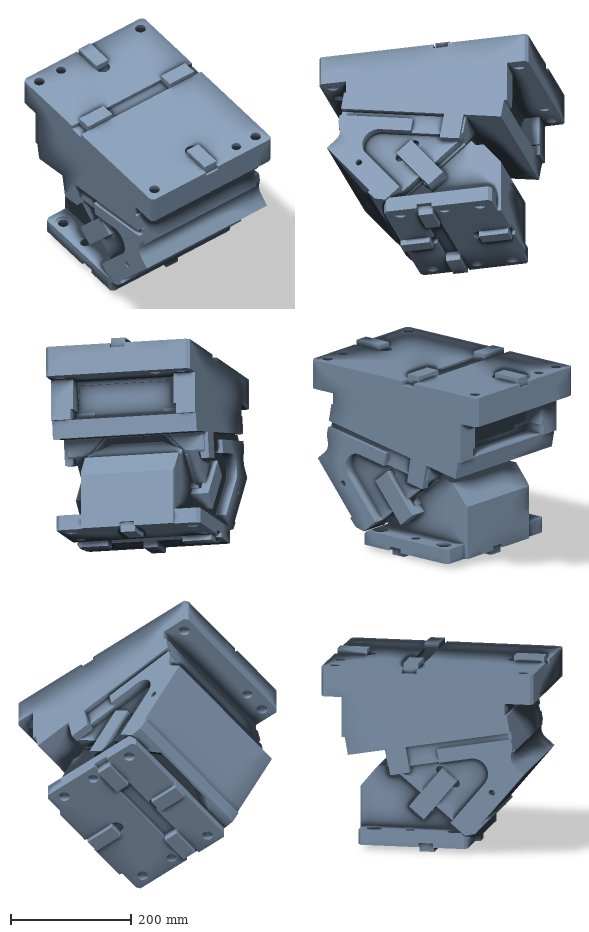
import cadquery as cq
import math

LENGTH = 360.0
WIDTH = 250.0
HALF_WIDTH = WIDTH / 2
TOP_Z = 300.0
PLATE_T = 50.0
CORNER_X = 4.5
CORNER_Y = 6.0
MARGIN = 18.0

BOLT_D = 18.0
DOWEL_D = 16.5

KEY_L = 50.5
KEY_W = 24.5
KEY_PROUD = 9.0
SLOT_W = 25.2
SLOT_DEPTH = 7.2

TILT = 10.0
SLIDE_X = 45.7
SLIDE_Z = 152.0
SLIDE_END = 279.7

GUIDE_ANGLE = 40.0
GUIDE_X = 220.5
GUIDE_Z = 43.5

FLANK_SLOPE = 0.64
FLANK_Y = 80.5
RIDGE_TOP_Y = 43.2
RIDGE_H = (FLANK_Y - RIDGE_TOP_Y) * FLANK_SLOPE


def slide_point(u, v):
    """(x, z) of a point given along and normal to the slide plane."""
    c, s = math.cos(math.radians(TILT)), math.sin(math.radians(TILT))
    return (SLIDE_X + u * c - v * s, SLIDE_Z + u * s + v * c)


def guide_point(s, h):
    """(x, z) of a point given down along and normal to the guide."""
    c, n = math.cos(math.radians(GUIDE_ANGLE)), math.sin(math.radians(GUIDE_ANGLE))
    return (GUIDE_X + s * c + h * n, GUIDE_Z - s * n + h * c)


def side_prism(points, y_from, y_to):
    """Extrude an (x, z) outline between two Y positions."""
    plane = cq.Workplane("XZ", origin=(0, y_from, 0))
    return plane.polyline(points).close().extrude(y_from - y_to)


def central_prism(points, half_width):
    """Extrude an (x, z) outline symmetrically about Y = 0."""
    return side_prism(points, -half_width, half_width)


def both_sides(shape):
    """The shape together with its mirror image about Y = 0."""
    return shape.union(shape.mirror("XZ"))


def guide_prism(section, s_from, s_to):
    """Extrude a (y, h) section along the guide."""
    angle = math.radians(GUIDE_ANGLE)
    x, z = guide_point(s_from, 0)
    down_guide = (math.cos(angle), 0, -math.sin(angle))
    plane = cq.Plane(origin=(x, 0, z), xDir=(0, 1, 0), normal=down_guide)
    return cq.Workplane(plane).polyline(section).close().extrude(s_to - s_from)


def box(x_from, x_to, y_from, y_to, z_from, z_to):
    """Block given by its limits along each axis."""
    corner_box = cq.Workplane("XY").box(x_to - x_from, y_to - y_from, z_to - z_from, centered=False)
    return corner_box.translate((x_from, y_from, z_from))


def chamfered_plate(x_from, x_to, z_from, z_to):
    """Full-width plate with chamfered upright corners."""
    points = [
        (x_from + CORNER_X, -HALF_WIDTH),
        (x_to - CORNER_X, -HALF_WIDTH),
        (x_to, -HALF_WIDTH + CORNER_Y),
        (x_to, HALF_WIDTH - CORNER_Y),
        (x_to - CORNER_X, HALF_WIDTH),
        (x_from + CORNER_X, HALF_WIDTH),
        (x_from, HALF_WIDTH - CORNER_Y),
        (x_from, -HALF_WIDTH + CORNER_Y),
    ]
    return cq.Workplane("XY", origin=(0, 0, z_from)).polyline(points).close().extrude(z_to - z_from)


def drill(points, diameter, z_from, z_to):
    """Upright cylinders at the given (x, y) points."""
    plane = cq.Workplane("XY", origin=(0, 0, z_from))
    return plane.pushPoints(points).circle(diameter / 2).extrude(z_to - z_from)


def end_slot(x_edge, x_round, z_from, z_to):
    """Key slot open at x_edge with a round end reaching to x_round."""
    inward = math.copysign(1, x_round - x_edge)
    x_center = x_round - inward * SLOT_W / 2
    x_open = x_edge - inward * MARGIN
    straight = box(
        min(x_open, x_center), max(x_open, x_center), -SLOT_W / 2, SLOT_W / 2, z_from, z_to
    )
    return straight.union(drill([(x_center, 0)], SLOT_W, z_from, z_to))


def cross_slot(x_center, z_from, z_to):
    """Key slot across the full width."""
    return box(
        x_center - SLOT_W / 2, x_center + SLOT_W / 2, -HALF_WIDTH, HALF_WIDTH, z_from, z_to
    )


def key_set(cross_x, cross_y, end_xs, z_from, z_to):
    """Two keys across the part and two along its middle."""
    height = z_to - z_from
    base = cq.Workplane("XY", origin=(0, 0, z_from))
    cross = base.pushPoints([(cross_x, -cross_y), (cross_x, cross_y)]).rect(KEY_W, KEY_L).extrude(height)
    ends = base.pushPoints([(x, 0) for x in end_xs]).rect(KEY_L, KEY_W).extrude(height)
    return cross.union(ends)


BODY_LEFT = 35.3
BODY_RIGHT = 312.0
FRONT_STEP_Z = 181.8
REAR_STEP_Z = 229.5
LEG_FRONT = 65.5
LEG_REAR = 99.5
LEG_LENGTH = 43.5
LEG_INNER_Y = 111.0
PAD_T = 1.5
PAD_HALF_W = 111.0

WINDOW_HALF_W = 87.0
WINDOW_LOW_HALF_W = 91.5
WINDOW_LOW_TOP = 199.0
WINDOW_BACK_X = 75.5
BAR_T = 3.0
MID_BAR_TOP = 190.0
SIDE_BAR_FRONT_TOP = 194.8
SIDE_BAR_IN_Y = 59.5
FRAME_T = 1.8
FRAME_TOP_Z = 243.7
FRAME_SIDE_Z = 220.5
FRAME_HALF_W = 85.0

HOLDER_BOLT_X = (19.8, 340.2)
HOLDER_BOLT_Y = 105.0
HOLDER_DOWELS = [(19.8, -60.0), (340.2, 65.0)]
CROSS_SLOT_X = 149.8
CROSS_KEY_Y = 85.0
END_KEY_GAP = 4.5
END_SLOT_L = 67.5


def step_on_slide_edge(u, z):
    """Point at height z on the edge that stands square on the slide plane at u."""
    x, z_start = slide_point(u, 0)
    return (x - (z - z_start) * math.tan(math.radians(TILT)), z)


def back_wall_point(z, forward=0.0):
    """Point of the window's back wall at height z, or of a face set forward of it."""
    return (WINDOW_BACK_X - forward - (z - FRONT_STEP_Z) * math.tan(math.radians(TILT)), z)


def back_wall_plate(z_from, z_to, thickness, z_back_top=None):
    """Outline of a plate on the back wall; its top rises to z_back_top if given."""
    return [
        back_wall_point(z_from),
        back_wall_point(z_from, thickness),
        back_wall_point(z_to, thickness),
        back_wall_point(z_back_top or z_to),
    ]


def holder_window():
    """Volume removed behind the opening in the front wall."""
    ceiling = TOP_Z - PLATE_T
    window = central_prism(
        [(0, FRONT_STEP_Z), back_wall_point(FRONT_STEP_Z), back_wall_point(ceiling), (0, ceiling)],
        WINDOW_HALF_W,
    )
    low = [
        (0, FRONT_STEP_Z),
        back_wall_point(FRONT_STEP_Z),
        back_wall_point(WINDOW_LOW_TOP),
        (0, WINDOW_LOW_TOP),
    ]
    window = window.union(central_prism(low, WINDOW_LOW_HALF_W))

    mid_bar = back_wall_plate(FRONT_STEP_Z, MID_BAR_TOP, BAR_T)
    side_bar = back_wall_plate(FRONT_STEP_Z, SIDE_BAR_FRONT_TOP, BAR_T, WINDOW_LOW_TOP)
    frame_top = back_wall_plate(FRAME_TOP_Z, ceiling, FRAME_T)
    frame_side = back_wall_plate(FRAME_SIDE_Z, ceiling, FRAME_T)
    window = window.cut(central_prism(mid_bar, SIDE_BAR_IN_Y))
    window = window.cut(both_sides(side_prism(side_bar, SIDE_BAR_IN_Y, WINDOW_LOW_HALF_W)))
    window = window.cut(central_prism(frame_top, WINDOW_HALF_W))
    return window.cut(both_sides(side_prism(frame_side, FRAME_HALF_W, WINDOW_HALF_W)))


def make_holder():
    plate_bottom = TOP_Z - PLATE_T
    front_step = step_on_slide_edge(0, FRONT_STEP_Z)
    rear_step = step_on_slide_edge(SLIDE_END, REAR_STEP_Z)
    body = central_prism(
        [
            (BODY_LEFT, plate_bottom),
            (BODY_LEFT, FRONT_STEP_Z),
            front_step,
            slide_point(0, 0),
            slide_point(SLIDE_END, 0),
            rear_step,
            (BODY_RIGHT, REAR_STEP_Z),
            (BODY_RIGHT, plate_bottom),
        ],
        HALF_WIDTH,
    )
    leg_outline = [
        slide_point(LEG_FRONT, 0),
        slide_point(LEG_FRONT, -LEG_LENGTH),
        slide_point(LEG_REAR, -LEG_LENGTH),
        slide_point(LEG_REAR, 0),
    ]
    legs = both_sides(side_prism(leg_outline, LEG_INNER_Y, HALF_WIDTH))
    pad_outline = [
        slide_point(LEG_FRONT, 0),
        slide_point(LEG_FRONT, -PAD_T),
        slide_point(SLIDE_END, -PAD_T),
        slide_point(SLIDE_END, 0),
    ]
    pad = central_prism(pad_outline, PAD_HALF_W)
    plate = chamfered_plate(0, LENGTH, plate_bottom, TOP_Z)
    holder = body.union(plate).cut(holder_window()).union(legs).union(pad)

    bolts = [(x, y) for x in HOLDER_BOLT_X for y in (-HOLDER_BOLT_Y, HOLDER_BOLT_Y)]
    holder = holder.cut(drill(bolts, BOLT_D, plate_bottom, TOP_Z))
    holder = holder.cut(drill(HOLDER_DOWELS, DOWEL_D, plate_bottom, TOP_Z))

    slot_floor = TOP_Z - SLOT_DEPTH
    holder = holder.cut(cross_slot(CROSS_SLOT_X, slot_floor, TOP_Z))
    holder = holder.cut(end_slot(0, END_SLOT_L, slot_floor, TOP_Z))
    holder = holder.cut(end_slot(LENGTH, LENGTH - END_SLOT_L, slot_floor, TOP_Z))
    end_key_x = END_KEY_GAP + KEY_L / 2
    keys = key_set(
        CROSS_SLOT_X, CROSS_KEY_Y, (end_key_x, LENGTH - end_key_x), slot_floor, TOP_Z + KEY_PROUD
    )
    return holder.union(keys)


CORE_HALF_W = 106.0
SHELF_HALF_W = 116.0
NOSE_U = 62.5
NOSE_HALF_W = 118.0
NOSE_CLEARANCE = 3.0
WING_U = 152.0
WING_TOP = -11.5
POCKET_TOP = -34.0
POCKET_R = 25.5
TIP = (345.5, 131.0)
TOE = (271.8, 43.2)
TOE_OUT = (275.0, 40.5)
HEEL = (262.5, 26.5)
HEEL_END = (245.0, 22.5)
BACK_LOW = (329.8, 144.7)
BACK_MID = (323.3, 157.0)
BACK_HIGH = (324.0, 165.5)
BACK_EDGE = (325.8, 175.5)

GROOVE_OUT_Y = 103.0
GROOVE_TOP_Y = 93.0
GROOVE_TOP_H = (GROOVE_OUT_Y - GROOVE_TOP_Y) * FLANK_SLOPE
GROOVE_IN_Y = GROOVE_TOP_Y - GROOVE_TOP_H * FLANK_SLOPE
LIP_OUT_Y = 87.5
LIP_IN_Y = 85.5
LIP_START = -133.2
LIP_END = 22.5

HOOK_FRONT = -70.5
HOOK_REAR = -37.5
HOOK_TOP = 57.2
HOOK_BOTTOM = -28.8
HOOK_IN_Y = 84.5
HOOK_OUT_Y = 115.2
NOTCH_OUT_Y = 99.7
NOTCH_BOTTOM = -14.8
RELIEF_H = 51.5
RELIEF_R = 7.5
RELIEF_IN_Y = 93.5

PIN_HOLE = (290.5, 97.2)
PIN_HOLE_D = 10.8
PIN_HOLE_DEPTH = 19.0


def flank_h(y):
    """Height of the ridge flank at distance y from the middle."""
    return (FLANK_Y - y) * FLANK_SLOPE


def guide_depth_below(u):
    """v where a line square to the slide plane at u meets the guide line."""
    x, z = slide_point(u, 0)
    angle = math.radians(GUIDE_ANGLE)
    height = (x - GUIDE_X) * math.sin(angle) + (z - GUIDE_Z) * math.cos(angle)
    return -height / math.cos(math.radians(GUIDE_ANGLE + TILT))


def slider_tail(sketch):
    """Append the rear outline from the back edge to the heel."""
    return (
        sketch.lineTo(*BACK_EDGE)
        .lineTo(*BACK_HIGH)
        .threePointArc(BACK_MID, BACK_LOW)
        .lineTo(*TIP)
        .lineTo(*TOE)
        .lineTo(*TOE_OUT)
        .lineTo(*HEEL)
        .lineTo(*HEEL_END)
    )


def slider_core():
    """Middle of the slider with a wider shelf under the slide plane."""
    sketch = (
        cq.Workplane("XZ", origin=(0, -CORE_HALF_W, 0))
        .moveTo(*slide_point(LEG_FRONT, -PAD_T))
        .lineTo(*slide_point(SLIDE_END, -PAD_T))
    )
    front_low = slide_point(LEG_FRONT, guide_depth_below(LEG_FRONT))
    core = slider_tail(sketch).lineTo(*front_low).close().extrude(-2 * CORE_HALF_W)
    shelf = [
        slide_point(LEG_REAR, -PAD_T),
        slide_point(SLIDE_END, -PAD_T),
        slide_point(SLIDE_END, POCKET_TOP),
        slide_point(LEG_REAR, POCKET_TOP),
    ]
    return core.union(central_prism(shelf, SHELF_HALF_W))


def slider_nose():
    """Thin plate across the front of the slider, in front of the holder legs."""
    points = [
        slide_point(NOSE_U, 0),
        slide_point(LEG_FRONT, 0),
        slide_point(LEG_FRONT, guide_depth_below(LEG_FRONT)),
        slide_point(NOSE_U, guide_depth_below(NOSE_U)),
    ]
    return central_prism(points, NOSE_HALF_W).cut(ridge_groove(NOSE_CLEARANCE))


def slider_wings():
    """Outer side plates, each open below to a side pocket with one round corner."""
    x0, z0 = slide_point(0, POCKET_TOP)
    roof_rise = math.tan(math.radians(TILT))
    wall_rise = math.tan(math.radians(90 - GUIDE_ANGLE))
    x = (z0 - GUIDE_Z + GUIDE_X * wall_rise - x0 * roof_rise) / (wall_rise - roof_rise)
    corner = (x, z0 + (x - x0) * roof_rise)
    sketch = (
        cq.Workplane("XZ", origin=(0, CORE_HALF_W, 0))
        .moveTo(*slide_point(WING_U, WING_TOP))
        .lineTo(*slide_point(SLIDE_END, WING_TOP))
    )
    wing = (
        slider_tail(sketch)
        .lineTo(GUIDE_X, GUIDE_Z)
        .lineTo(*corner)
        .lineTo(*slide_point(WING_U, POCKET_TOP))
        .close()
        .extrude(CORE_HALF_W - HALF_WIDTH)
    )
    nearest = cq.NearestToPointSelector((corner[0], (CORE_HALF_W + HALF_WIDTH) / 2, corner[1]))
    return both_sides(wing.edges("|Y").edges(nearest).fillet(POCKET_R))


def return_hooks():
    """Plates on the slider sides that reach under the base lugs."""
    outline = [
        guide_point(HOOK_FRONT, HOOK_BOTTOM),
        guide_point(HOOK_REAR, HOOK_BOTTOM),
        guide_point(HOOK_REAR, HOOK_TOP),
        guide_point(HOOK_FRONT, HOOK_TOP),
    ]
    hook = side_prism(outline, HOOK_IN_Y, HOOK_OUT_Y)
    notch = [
        guide_point(HOOK_FRONT, NOTCH_BOTTOM),
        guide_point(HOOK_REAR, NOTCH_BOTTOM),
        guide_point(HOOK_REAR, 0),
        guide_point(HOOK_FRONT, 0),
    ]
    return both_sides(hook.cut(side_prism(notch, HOOK_IN_Y, NOTCH_OUT_Y)))


def pin_hole():
    """Blind hole with a conical bottom."""
    x, z = PIN_HOLE
    mouth = cq.Vector(x, HALF_WIDTH, z)
    floor = cq.Vector(x, HALF_WIDTH - PIN_HOLE_DEPTH, z)
    inward = cq.Vector(0, -1, 0)
    radius = PIN_HOLE_D / 2
    bore = cq.Workplane(cq.Solid.makeCylinder(radius, PIN_HOLE_DEPTH, mouth, inward))
    return bore.union(cq.Workplane(cq.Solid.makeCone(radius, 0, radius, floor, inward)))


def ridge_groove(clearance):
    """Groove along the whole slider, shaped like the base ridge and raised by the clearance."""
    section = [
        (-FLANK_Y - MARGIN, flank_h(FLANK_Y + MARGIN) + clearance),
        (-RIDGE_TOP_Y, RIDGE_H + clearance),
        (RIDGE_TOP_Y, RIDGE_H + clearance),
        (FLANK_Y + MARGIN, flank_h(FLANK_Y + MARGIN) + clearance),
    ]
    return guide_prism(section, RIDGE_START - MARGIN, LIP_END + MARGIN)


def side_grooves():
    """Square grooves set on edge in the slider underside."""
    section = [(GROOVE_OUT_Y, 0), (GROOVE_TOP_Y, GROOVE_TOP_H), (GROOVE_IN_Y, 0)]
    return both_sides(guide_prism(section, LIP_START, LIP_END))


def side_lips():
    """Low ribs between the ridge groove and the side grooves."""
    lip_h = flank_h(LIP_IN_Y)
    section = [(FLANK_Y, 0), (LIP_IN_Y, lip_h), (LIP_OUT_Y, lip_h), (GROOVE_IN_Y, 0)]
    return both_sides(guide_prism(section, LIP_START, LIP_END))


def hook_reliefs():
    """Round corner reliefs beside the upper corners of the hooks."""
    centers = [guide_point(s, RELIEF_H) for s in (HOOK_FRONT, HOOK_REAR)]
    plane = cq.Workplane("XZ", origin=(0, RELIEF_IN_Y, 0))
    return both_sides(plane.pushPoints(centers).circle(RELIEF_R).extrude(RELIEF_IN_Y - CORE_HALF_W))


def make_slider():
    slider = slider_core().cut(ridge_groove(0)).cut(hook_reliefs())
    slider = slider.union(slider_wings()).union(return_hooks())
    slider = slider.cut(side_grooves()).union(side_lips())
    slider = slider.union(slider_nose())
    return slider.cut(both_sides(pin_hole()))


FOOT_LEFT = 63.0
FOOT_RIGHT = 248.5
FOOT_T = 25.2
FOOT_NOSE_Z = 15.5
FOOT_CUT_X = 238.0
POST_LEFT = 57.5
POST_HALF_W = 81.5
POST_FRONT_HALF_W = 80.0
POST_CORNER_Z = 90.7
POST_TOP = 126.0
RIDGE_START = -145.0
RIDGE_FINISH = 15.5
POST_CLEARANCE = 2.0
POST_TOP_LEFT = 87.0
LUG_OVERHANG = 1.5
LUG_ROOT_Y = 80.0
LUG_OUT_Y = 95.0
BASE_BOLT_X = (87.0, 224.3)
BASE_BOLT_Y = 106.0
BASE_DOWEL_X = 148.0
CBORE_D = 26.0
CBORE_DEPTH = 2.0
BASE_CROSS_X = 178.2
BASE_CROSS_KEY_Y = 90.0


def base_post():
    """Central block with the sloping ridge on top."""
    angle = math.radians(GUIDE_ANGLE)
    x_top, z_top = guide_point(RIDGE_FINISH, RIDGE_H - POST_CLEARANCE)
    x_foot = x_top - (z_top - FOOT_T) * math.tan(angle)
    x_start, z_start = guide_point(RIDGE_START, RIDGE_H - POST_CLEARANCE)
    x_flat = x_start - (z_start - POST_TOP) * math.tan(angle)
    outline = [
        (POST_LEFT, 0),
        (x_foot, 0),
        (x_foot, FOOT_T),
        (x_top, z_top),
        (x_start, z_start),
        (x_flat, POST_TOP),
        (POST_TOP_LEFT, POST_TOP),
        (POST_LEFT, POST_CORNER_Z),
    ]
    post = central_prism(outline, POST_HALF_W)
    flank_cut = [
        (RIDGE_TOP_Y, RIDGE_H - POST_CLEARANCE),
        (POST_HALF_W + MARGIN, flank_h(POST_HALF_W + MARGIN) - POST_CLEARANCE),
        (POST_HALF_W + MARGIN, RIDGE_H + MARGIN),
        (RIDGE_TOP_Y, RIDGE_H + MARGIN),
    ]
    post = post.cut(both_sides(guide_prism(flank_cut, RIDGE_START, RIDGE_FINISH)))
    corner = (
        cq.Workplane("XY")
        .polyline([(POST_LEFT, POST_FRONT_HALF_W), (FOOT_LEFT, POST_HALF_W), (POST_LEFT, POST_HALF_W)])
        .close()
        .extrude(POST_TOP)
    )
    return post.cut(both_sides(corner))


def base_foot():
    """Foot plate with its rear top edge cut off along the guide direction."""
    foot = chamfered_plate(FOOT_LEFT, FOOT_RIGHT, 0, FOOT_T)
    nose_cut = [(FOOT_CUT_X, FOOT_T), (FOOT_RIGHT, FOOT_T), (FOOT_RIGHT, FOOT_NOSE_Z)]
    return foot.cut(central_prism(nose_cut, HALF_WIDTH))


def base_lugs():
    """Side lugs that run in the notches of the return hooks."""
    section = [
        (LUG_ROOT_Y, NOTCH_BOTTOM),
        (LUG_OUT_Y, NOTCH_BOTTOM),
        (LUG_OUT_Y, flank_h(LUG_OUT_Y)),
        (LUG_ROOT_Y, flank_h(LUG_ROOT_Y)),
    ]
    return both_sides(guide_prism(section, HOOK_FRONT - LUG_OVERHANG, HOOK_REAR + LUG_OVERHANG))


def make_base():
    base = base_foot().union(base_post()).union(base_lugs())
    bolts = [(x, y) for x in BASE_BOLT_X for y in (-BASE_BOLT_Y, BASE_BOLT_Y)]
    base = base.cut(drill(bolts, BOLT_D, 0, FOOT_T))
    base = base.cut(drill(bolts, CBORE_D, FOOT_T - CBORE_DEPTH, FOOT_T))
    dowels = [(BASE_DOWEL_X, -BASE_BOLT_Y), (BASE_DOWEL_X, BASE_BOLT_Y)]
    base = base.cut(drill(dowels, DOWEL_D, 0, FOOT_T))
    base = base.cut(cross_slot(BASE_CROSS_X, 0, SLOT_DEPTH))
    key_left = FOOT_LEFT + KEY_L
    key_right = FOOT_RIGHT - KEY_L
    base = base.cut(end_slot(POST_LEFT, key_left + SLOT_W / 2, 0, SLOT_DEPTH))
    base = base.cut(end_slot(FOOT_RIGHT, key_right - SLOT_W / 2, 0, SLOT_DEPTH))
    end_xs = (FOOT_LEFT + KEY_L / 2, FOOT_RIGHT - KEY_L / 2)
    keys = key_set(BASE_CROSS_X, BASE_CROSS_KEY_Y, end_xs, -KEY_PROUD, SLOT_DEPTH)
    return base.union(keys)


holder = make_holder()
slider = make_slider()
base = make_base()

result = cq.Compound.makeCompound([holder.val(), slider.val(), base.val()])